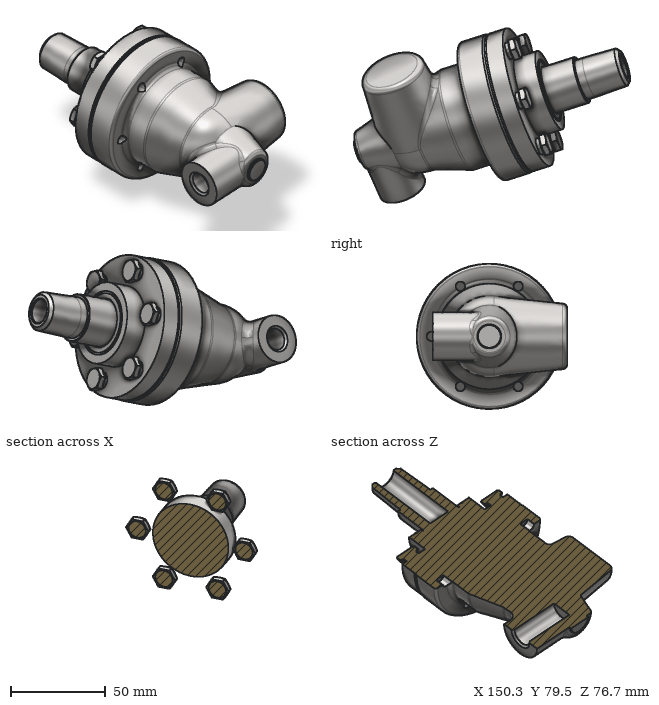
import cadquery as cq
import math


FULL_TURN = 360
EDGE_MARGIN = 0.5

NIPPLE_TIP_DIA = 17.2
NIPPLE_TIP_CHAMFER = 1.75
THREAD_START_DIA = 20.75
THREAD_END_DIA = 21.85
THREAD_END_X = 19.6
SHAFT_SHOULDER_X = 23.9
SHAFT_DIA = 25.4
SHAFT_SHOULDER_DIA = 24.7
ROTOR_BORE_DIA = 12.7
ROTOR_BORE_MOUTH_DIA = 13.7
ROTOR_BORE_MOUTH_DEPTH = 0.5
HUB_X = 42.1
ROTOR_BORE_DEPTH = HUB_X

HUB_DIA = 43.43
SEAL_GROOVE_OUTER_DIA = 34.11
SEAL_GROOVE_INNER_DIA = 31.75
SEAL_GROOVE_DEPTH = 0.3
SHAFT_CLEARANCE_DIA = 26.16
SHAFT_CLEARANCE_DEPTH = 1.5

COVER_X = 54.2
COVER_DIA = 76.2
GASKET_X = 63.6
GASKET_DIA = 75.95
BODY_FLANGE_X = 64.6
BODY_FLANGE_EDGE_LENGTH = 1.1
BODY_FLANGE_DIA = 76.71
BODY_FLANGE_END_X = 80.2
BODY_FLANGE_ROUND = 1.6

BARREL_DIA = 55.63
BARREL_ROOT_FILLET = 2.6
BARREL_END_X = 94.3
BARREL_EDGE_ROUND = 4.0
TAIL_HALF_ANGLE = 17.8
TAIL_END_X = 149.0
TAIL_END_ROUND = 2.6
PLUG_DIA = 12.7
PLUG_CHAMFER = 0.4
OVERALL_LENGTH = 150.31

BALL_X = 115.7
BALL_RADIUS = 21.4
BALL_ARC_MIDDLE_ANGLE = -45
BOSS_HALF_ANGLE = 6.1
OVERALL_WIDTH = 79.5
BOSS_END_Y = OVERALL_WIDTH - BODY_FLANGE_DIA / 2
BOSS_END_ROUND = 3.0
BOSS_BLEND = 3.0

SIDE_PORT_DIA = 25.4
SIDE_PORT_END_GAP = 0.04
SIDE_PORT_X = TAIL_END_X - SIDE_PORT_DIA / 2 - SIDE_PORT_END_GAP
SIDE_PORT_LENGTH = 29.7
SIDE_PORT_BLEND = 4.0
SIDE_BORE_DIA = 11.5
SIDE_BORE_MOUTH_DIA = 13.9
SIDE_BORE_MOUTH_DEPTH = 1.2
SIDE_BORE_DEPTH = SIDE_PORT_LENGTH

BOLT_COUNT = 6
BOLT_CIRCLE_DIA = 60.96
HEX_SIDES = 6
HEX_ACROSS_FLATS = 11.1
HEX_HEIGHT = 3.4
HEAD_X = 48.3
HEX_CHAMFER_DIA = 10.9
HEX_CHAMFER_ANGLE = 30
BEARING_FACE_DIA = 10.0
BEARING_FACE_THICKNESS = 0.4
LOCK_WASHER_DIA = 9.0
WASHER_SLIT_WIDTH = 0.8
WASHER_SLIT_DEPTH = 1.0
TAP_HOLE_DIA = 4.98
TAP_HOLE_DEPTH = 5.0


def polar(radius, degrees):
    """Plane coordinates of a point given by its radius and angle."""
    angle = math.radians(degrees)
    return radius * math.cos(angle), radius * math.sin(angle)


def disc(x, dia, length):
    """Cylinder about the X axis running from x toward +X."""
    return cq.Workplane("YZ", origin=(x, 0, 0)).circle(dia / 2).extrude(length)


def edges_within(x_min, x_max, y_min, y_max):
    """Selector for edges that lie wholly inside an X-Y window, at any Z."""
    reach = BODY_FLANGE_DIA
    return cq.selectors.BoxSelector((x_min, y_min, -reach), (x_max, y_max, reach), boundingbox=True)


def make_front():
    """Nipple, shaft, hub and cover flange up to the gasket, turned about X."""
    shoulder_chamfer = (SHAFT_DIA - SHAFT_SHOULDER_DIA) / 2
    profile = (
        cq.Workplane("XY")
        .moveTo(0, 0)
        .lineTo(0, NIPPLE_TIP_DIA / 2)
        .lineTo(NIPPLE_TIP_CHAMFER, THREAD_START_DIA / 2)
        .lineTo(THREAD_END_X, THREAD_END_DIA / 2)
        .lineTo(SHAFT_SHOULDER_X, THREAD_END_DIA / 2)
        .lineTo(SHAFT_SHOULDER_X, SHAFT_SHOULDER_DIA / 2)
        .lineTo(SHAFT_SHOULDER_X + shoulder_chamfer, SHAFT_DIA / 2)
        .lineTo(HUB_X + SHAFT_CLEARANCE_DEPTH, SHAFT_DIA / 2)
        .lineTo(HUB_X + SHAFT_CLEARANCE_DEPTH, SHAFT_CLEARANCE_DIA / 2)
        .lineTo(HUB_X, SHAFT_CLEARANCE_DIA / 2)
        .lineTo(HUB_X, SEAL_GROOVE_INNER_DIA / 2)
        .lineTo(HUB_X + SEAL_GROOVE_DEPTH, SEAL_GROOVE_INNER_DIA / 2)
        .lineTo(HUB_X + SEAL_GROOVE_DEPTH, SEAL_GROOVE_OUTER_DIA / 2)
        .lineTo(HUB_X, SEAL_GROOVE_OUTER_DIA / 2)
        .lineTo(HUB_X, HUB_DIA / 2)
        .lineTo(COVER_X, HUB_DIA / 2)
        .lineTo(COVER_X, COVER_DIA / 2)
        .lineTo(GASKET_X, COVER_DIA / 2)
        .lineTo(GASKET_X, GASKET_DIA / 2)
        .lineTo(BODY_FLANGE_X, GASKET_DIA / 2)
        .lineTo(BODY_FLANGE_X, 0)
        .close()
    )
    front = profile.revolve(FULL_TURN, (0, 0, 0), (1, 0, 0))
    bore = disc(0, ROTOR_BORE_DIA, ROTOR_BORE_DEPTH)
    mouth = cq.Solid.makeCone(
        ROTOR_BORE_MOUTH_DIA / 2, ROTOR_BORE_DIA / 2, ROTOR_BORE_MOUTH_DEPTH,
        cq.Vector(0, 0, 0), cq.Vector(1, 0, 0)
    )
    return front.cut(bore).cut(mouth)


def make_body():
    """Body flange, barrel and tail cone, turned about X."""
    barrel_radius = BARREL_DIA / 2
    tail_radius = barrel_radius - (TAIL_END_X - BARREL_END_X) * math.tan(math.radians(TAIL_HALF_ANGLE))
    flange_radius = BODY_FLANGE_DIA / 2
    root_radius = barrel_radius + BARREL_ROOT_FILLET
    profile = (
        cq.Workplane("XY")
        .moveTo(BODY_FLANGE_X, 0)
        .lineTo(BODY_FLANGE_X, GASKET_DIA / 2)
        .lineTo(BODY_FLANGE_X + BODY_FLANGE_EDGE_LENGTH, flange_radius)
        .lineTo(BODY_FLANGE_END_X - BODY_FLANGE_ROUND, flange_radius)
        .radiusArc((BODY_FLANGE_END_X, flange_radius - BODY_FLANGE_ROUND), BODY_FLANGE_ROUND)
        .lineTo(BODY_FLANGE_END_X, root_radius)
        .radiusArc((BODY_FLANGE_END_X + BARREL_ROOT_FILLET, barrel_radius), -BARREL_ROOT_FILLET)
        .lineTo(BARREL_END_X, barrel_radius)
        .lineTo(TAIL_END_X, tail_radius)
        .lineTo(TAIL_END_X, 0)
        .close()
    )
    body = profile.revolve(FULL_TURN, (0, 0, 0), (1, 0, 0))
    barrel_edge = edges_within(BARREL_END_X - EDGE_MARGIN, BARREL_END_X + EDGE_MARGIN, -BARREL_DIA, BARREL_DIA)
    return body.edges(barrel_edge).fillet(BARREL_EDGE_ROUND).faces(">X").edges().fillet(TAIL_END_ROUND)


def make_boss():
    """Large port boss: a ball and the cone tangent to it, turned about the Y direction."""
    tangent_x, tangent_y = polar(BALL_RADIUS, BOSS_HALF_ANGLE)
    end_radius = tangent_x - (BOSS_END_Y - tangent_y) * math.tan(math.radians(BOSS_HALF_ANGLE))
    profile = (
        cq.Workplane("XY", origin=(BALL_X, 0, 0))
        .moveTo(0, -BALL_RADIUS)
        .threePointArc(polar(BALL_RADIUS, BALL_ARC_MIDDLE_ANGLE), (tangent_x, tangent_y))
        .lineTo(end_radius, BOSS_END_Y)
        .lineTo(0, BOSS_END_Y)
        .close()
    )
    boss = profile.revolve(FULL_TURN, (0, 0, 0), (0, 1, 0))
    return boss.faces(">Y").edges().fillet(BOSS_END_ROUND)


def make_casting():
    """Body with both port bosses joined on and blended in."""
    casting = make_body().union(make_boss())
    front_seam = edges_within(BARREL_END_X, BALL_X, -BALL_RADIUS, BARREL_DIA / 2)
    casting = casting.edges(front_seam).fillet(BOSS_BLEND)
    port = cq.Workplane("XZ", origin=(SIDE_PORT_X, 0, 0)).circle(SIDE_PORT_DIA / 2).extrude(SIDE_PORT_LENGTH)
    casting = casting.union(port)
    port_radius = SIDE_PORT_DIA / 2
    port_seam = edges_within(SIDE_PORT_X - port_radius - EDGE_MARGIN, TAIL_END_X - EDGE_MARGIN, -BALL_RADIUS, 0)
    casting = casting.edges(port_seam).fillet(SIDE_PORT_BLEND)
    return casting.cut(make_side_bore())


def make_side_bore():
    """Bore of the side port with its countersunk mouth, opening toward -Y."""
    mouth_center = cq.Vector(SIDE_PORT_X, -SIDE_PORT_LENGTH, 0)
    inward = cq.Vector(0, 1, 0)
    bore = cq.Solid.makeCylinder(SIDE_BORE_DIA / 2, SIDE_BORE_DEPTH, mouth_center, inward)
    mouth = cq.Solid.makeCone(
        SIDE_BORE_MOUTH_DIA / 2, SIDE_BORE_DIA / 2, SIDE_BORE_MOUTH_DEPTH, mouth_center, inward
    )
    return cq.Workplane(bore).union(cq.Workplane(mouth))


def make_plug():
    """Short chamfered plug on the tail end face."""
    return disc(TAIL_END_X, PLUG_DIA, OVERALL_LENGTH - TAIL_END_X).faces(">X").chamfer(PLUG_CHAMFER)


def make_bolt(y, z):
    """Hex head with corners bevelled at its front face, bearing face and split lock washer."""
    head = (
        cq.Workplane("YZ", origin=(HEAD_X, 0, 0))
        .transformed(rotate=(0, 0, FULL_TURN / HEX_SIDES / 2))
        .polygon(HEX_SIDES, HEX_ACROSS_FLATS, circumscribed=True)
        .extrude(HEX_HEIGHT)
    )
    corner_height = (HEX_ACROSS_FLATS / math.cos(math.pi / HEX_SIDES) - HEX_CHAMFER_DIA) / 2
    cone_height = corner_height * math.tan(math.radians(HEX_CHAMFER_ANGLE))
    corner_cone = cq.Solid.makeCone(
        HEX_CHAMFER_DIA / 2, HEX_CHAMFER_DIA / 2 + corner_height, cone_height,
        cq.Vector(HEAD_X, 0, 0), cq.Vector(1, 0, 0)
    )
    corner_limit = cq.Workplane(corner_cone).union(
        disc(HEAD_X + cone_height, HEX_CHAMFER_DIA + 2 * corner_height, HEX_HEIGHT)
    )
    washer_x = HEAD_X + HEX_HEIGHT + BEARING_FACE_THICKNESS
    bearing_face = disc(HEAD_X + HEX_HEIGHT, BEARING_FACE_DIA, BEARING_FACE_THICKNESS)
    washer = disc(washer_x, LOCK_WASHER_DIA, COVER_X - washer_x)
    slit = cq.Workplane("XY").box(
        COVER_X - washer_x, WASHER_SLIT_WIDTH, WASHER_SLIT_DEPTH, centered=(False, True, False)
    ).translate((washer_x, 0, LOCK_WASHER_DIA / 2 - WASHER_SLIT_DEPTH))
    bolt = head.intersect(corner_limit).union(bearing_face).union(washer.cut(slit))
    return bolt.translate((0, y, z))


def make_tap_hole(y, z):
    """Blind hole from the back of the body flange, also notching the barrel root fillet."""
    start_x = BODY_FLANGE_END_X - TAP_HOLE_DEPTH
    return disc(start_x, TAP_HOLE_DIA, TAP_HOLE_DEPTH + BARREL_ROOT_FILLET).translate((0, y, z))


result = make_front().union(make_casting()).union(make_plug())
for index in range(BOLT_COUNT):
    bolt_y, bolt_z = polar(BOLT_CIRCLE_DIA / 2, index * FULL_TURN / BOLT_COUNT)
    result = result.union(make_bolt(bolt_y, bolt_z)).cut(make_tap_hole(bolt_y, bolt_z))